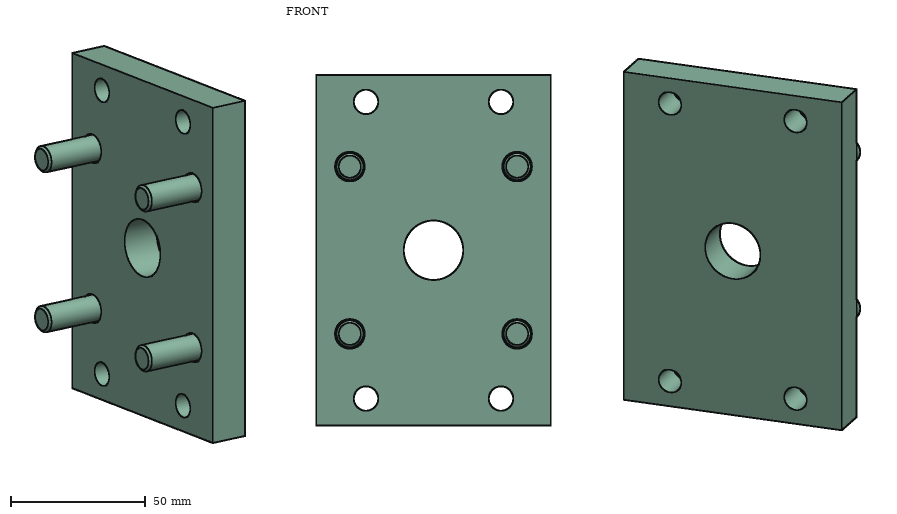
import cadquery as cq

plate_width = 87.0
plate_height = 130.0
plate_thickness = 15.0
bore_diameter = 22.0

mount_diameter = 9.0
mount_spacing_x = 50.0
mount_spacing_z = 110.0

pin_diameter = 10.0
pin_spacing = 62.0
pin_chamfer = 0.9
overall_depth = 38.5
pin_projection = overall_depth - plate_thickness

pin_hole_diameter = 11.0
pin_hole_depth = 5.0


def grid_points(spacing_x, spacing_z):
    """Four (x, z) centres of a rectangle around the origin."""
    return [(sx * spacing_x / 2, sz * spacing_z / 2) for sx in (-1, 1) for sz in (-1, 1)]


def cylinder_along_y(diameter, y_start, y_end):
    """Solid cylinder on the Y axis between two Y positions."""
    return cq.Workplane("XZ", origin=(0, y_start, 0)).circle(diameter / 2).extrude(y_start - y_end)


def make_plate():
    """Slab with a central bore, four mounting holes and four blind pin holes."""
    plate = cq.Workplane("XY").box(
        plate_width, plate_thickness, plate_height, centered=(True, False, True)
    )
    plate = plate.cut(cylinder_along_y(bore_diameter, 0, plate_thickness))
    for x, z in grid_points(mount_spacing_x, mount_spacing_z):
        plate = plate.cut(cylinder_along_y(mount_diameter, 0, plate_thickness).translate((x, 0, z)))
    for x, z in grid_points(pin_spacing, pin_spacing):
        plate = plate.cut(cylinder_along_y(pin_hole_diameter, 0, pin_hole_depth).translate((x, 0, z)))
    return plate


def make_pin(x, z):
    """Round pin from the floor of its hole, with a chamfered front end."""
    pin = cylinder_along_y(pin_diameter, -pin_projection, pin_hole_depth)
    pin = pin.faces("<Y").chamfer(pin_chamfer)
    return pin.translate((x, 0, z))


plate = make_plate()
pins = [make_pin(x, z) for x, z in grid_points(pin_spacing, pin_spacing)]

result = cq.Compound.makeCompound([plate.val(), *[pin.val() for pin in pins]])